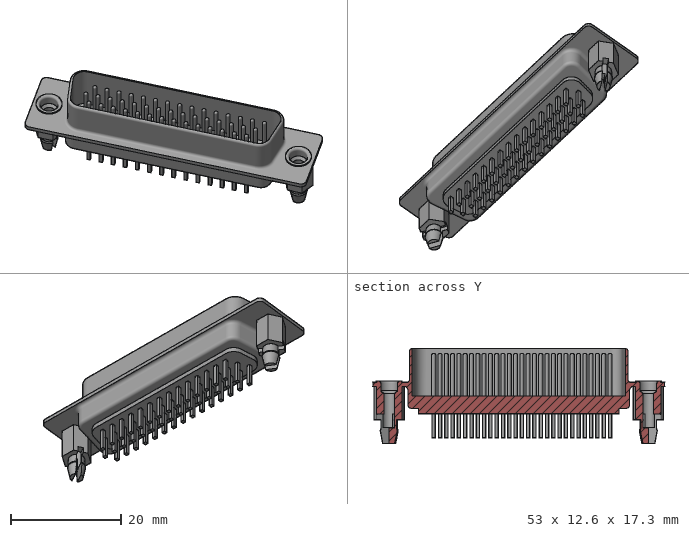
import cadquery as cq
import math

FLANGE_LENGTH = 53.05
FLANGE_WIDTH = 12.55
FLANGE_THICKNESS = 0.8
FLANGE_CORNER_RADIUS = 1.0

END_ANGLE = 10.0

SHELL_WIDTH = 9.45
SHELL_MID_LENGTH = 39.45
SHELL_CORNER_RADIUS = 2.55
SHELL_HEIGHT = 6.15
SHELL_WALL = 0.55
SHELL_RIM_FILLET = 0.5
SHELL_BASE_FILLET = 0.55
CAVITY_FLOOR_Z = -2.5

REAR_WIDTH = 10.75
REAR_MID_LENGTH = 40.1
REAR_CORNER_RADIUS = 2.0
REAR_BOTTOM_Z = -4.8
REAR_FILLET = 0.65

INSULATOR_WIDTH = 6.95
INSULATOR_MID_LENGTH = 36.2
INSULATOR_CORNER_RADIUS = 2.1
INSULATOR_BOTTOM_Z = -5.75

LONG_ROW_COUNT = 15
SHORT_ROW_COUNT = 14
PIN_FIELD_LENGTH = 33.15
PIN_PITCH = PIN_FIELD_LENGTH / (LONG_ROW_COUNT - 0.5)
ROW_SPACING = 1.95
MIDDLE_ROW_START = -PIN_FIELD_LENGTH / 2
OUTER_ROW_START = MIDDLE_ROW_START + PIN_PITCH / 2
PIN_ROWS = (
    (LONG_ROW_COUNT, OUTER_ROW_START, ROW_SPACING),
    (LONG_ROW_COUNT, MIDDLE_ROW_START, 0.0),
    (SHORT_ROW_COUNT, OUTER_ROW_START, -ROW_SPACING),
)
PIN_DIAMETER = 0.75
PIN_TIP_Z = 5.2
PIN_TIP_FILLET = 0.25
TAIL_SIDE = 0.65
TAIL_END_Z = -10.1
PIN_EMBED = 0.25

POST_SPACING = 47.05
HEX_ACROSS_FLATS = 4.8
HEX_BOTTOM_Z = -6.85
RIM_DIAMETER = 4.7
RIM_HEIGHT = 0.25
PEG_DIAMETER = 3.0
BARB_DIAMETER = 3.3
PEG_TIP_DIAMETER = 2.4
BARB_TOP_Z = -8.45
BARB_WIDEST_Z = -8.75
PEG_BOTTOM_Z = -11.15
BORE_LIP_RADIUS = 0.4
BORE_DIAMETER = 3.25
BORE_BOTTOM_Z = -1.55
PILOT_DIAMETER = 2.25
PILOT_BOTTOM_Z = -8.2
SLOT_WIDTH = 1.0
SLOT_TOP_Z = -5.8
SLOT_ANGLE = 30.0


def d_prism(width, mid_length, corner_radius, bottom_z, top_z):
    """D-shaped prism; mid_length is its length along X halfway between the long sides."""
    half_width = width / 2
    lean = half_width * math.tan(math.radians(END_ANGLE))
    wide_half = mid_length / 2 + lean
    narrow_half = mid_length / 2 - lean
    corners = [
        (-narrow_half, -half_width),
        (narrow_half, -half_width),
        (wide_half, half_width),
        (-wide_half, half_width),
    ]
    prism = cq.Workplane("XY").workplane(offset=bottom_z).polyline(corners).close().extrude(top_z - bottom_z)
    return prism.edges("|Z").fillet(corner_radius)


def outline_edges_at(z):
    """Selector for the D outline edges at height z, leaving out the flange border."""
    half_x = FLANGE_LENGTH / 2 - FLANGE_CORNER_RADIUS
    half_y = (REAR_WIDTH + FLANGE_WIDTH) / 4
    margin = 0.05
    return cq.selectors.BoxSelector((-half_x, -half_y, z - margin), (half_x, half_y, z + margin))


def make_body():
    """Flange with both shells, the hollow mating side and the insulator step."""
    body = (
        cq.Workplane("XY")
        .box(FLANGE_LENGTH, FLANGE_WIDTH, FLANGE_THICKNESS, centered=(True, True, False))
        .translate((0, 0, -FLANGE_THICKNESS))
        .edges("|Z")
        .fillet(FLANGE_CORNER_RADIUS)
    )
    body = body.union(d_prism(SHELL_WIDTH, SHELL_MID_LENGTH, SHELL_CORNER_RADIUS, 0, SHELL_HEIGHT))
    body = body.union(
        d_prism(REAR_WIDTH, REAR_MID_LENGTH, REAR_CORNER_RADIUS, REAR_BOTTOM_Z, -FLANGE_THICKNESS)
    )
    body = body.edges(outline_edges_at(0)).fillet(SHELL_BASE_FILLET)
    body = body.faces(">Z").edges().fillet(SHELL_RIM_FILLET)
    body = body.edges(outline_edges_at(-FLANGE_THICKNESS)).fillet(REAR_FILLET)
    body = body.faces("<Z").edges().fillet(REAR_FILLET)

    end_wall = SHELL_WALL / math.cos(math.radians(END_ANGLE))
    cavity = d_prism(
        SHELL_WIDTH - 2 * SHELL_WALL,
        SHELL_MID_LENGTH - 2 * end_wall,
        SHELL_CORNER_RADIUS - SHELL_WALL,
        CAVITY_FLOOR_Z,
        SHELL_HEIGHT,
    )
    insulator = d_prism(
        INSULATOR_WIDTH, INSULATOR_MID_LENGTH, INSULATOR_CORNER_RADIUS, INSULATOR_BOTTOM_Z, REAR_BOTTOM_Z
    )
    return body.cut(cavity).union(insulator)


def make_pins():
    """Round contacts inside the shell, each with a square solder tail below."""
    points = []
    for count, start_x, y in PIN_ROWS:
        for index in range(count):
            points.append((start_x + index * PIN_PITCH, y))

    contact_base_z = CAVITY_FLOOR_Z - PIN_EMBED
    contact = (
        cq.Workplane("XY")
        .workplane(offset=contact_base_z)
        .circle(PIN_DIAMETER / 2)
        .extrude(PIN_TIP_Z - contact_base_z)
        .faces(">Z")
        .edges()
        .fillet(PIN_TIP_FILLET)
        .val()
    )
    tail_top_z = INSULATOR_BOTTOM_Z + PIN_EMBED
    tail = (
        cq.Workplane("XY")
        .workplane(offset=TAIL_END_Z)
        .rect(TAIL_SIDE, TAIL_SIDE)
        .extrude(tail_top_z - TAIL_END_Z)
        .val()
    )
    spots = cq.Workplane("XY").pushPoints(points)
    contacts = spots.eachpoint(lambda place: contact.moved(place))
    tails = spots.eachpoint(lambda place: tail.moved(place))
    return contacts.add(tails)


def make_post():
    """Hexagonal post with rim and barbed peg, standing on the Z axis."""
    across_corners = HEX_ACROSS_FLATS / math.cos(math.radians(30))
    post = cq.Workplane("XY").workplane(offset=HEX_BOTTOM_Z).polygon(6, across_corners).extrude(-HEX_BOTTOM_Z)
    rim = cq.Workplane("XY").circle(RIM_DIAMETER / 2).extrude(RIM_HEIGHT)
    peg_profile = [
        (0, HEX_BOTTOM_Z),
        (PEG_DIAMETER / 2, HEX_BOTTOM_Z),
        (PEG_DIAMETER / 2, BARB_TOP_Z),
        (BARB_DIAMETER / 2, BARB_WIDEST_Z),
        (PEG_TIP_DIAMETER / 2, PEG_BOTTOM_Z),
        (0, PEG_BOTTOM_Z),
    ]
    peg = cq.Workplane("XZ").polyline(peg_profile).close().revolve(360, (0, 0, 0), (0, 1, 0))
    return post.union(rim).union(peg)


def make_post_cut(slot_angle):
    """Stepped bore with a rounded lip, and the slot that splits the peg."""
    cone_bottom_z = BORE_BOTTOM_Z - (BORE_DIAMETER - PILOT_DIAMETER) / 2
    bore_radius = BORE_DIAMETER / 2
    pilot_radius = PILOT_DIAMETER / 2
    lip_arc_offset = BORE_LIP_RADIUS * (1 - math.cos(math.radians(45)))
    bore = (
        cq.Workplane("XZ")
        .moveTo(0, RIM_HEIGHT)
        .lineTo(bore_radius + BORE_LIP_RADIUS, RIM_HEIGHT)
        .threePointArc(
            (bore_radius + lip_arc_offset, RIM_HEIGHT - lip_arc_offset),
            (bore_radius, RIM_HEIGHT - BORE_LIP_RADIUS),
        )
        .lineTo(bore_radius, BORE_BOTTOM_Z)
        .lineTo(pilot_radius, cone_bottom_z)
        .lineTo(pilot_radius, PILOT_BOTTOM_Z)
        .lineTo(0, PILOT_BOTTOM_Z)
        .close()
        .revolve(360, (0, 0, 0), (0, 1, 0))
    )
    slot = (
        cq.Workplane("XY")
        .workplane(offset=PEG_BOTTOM_Z)
        .rect(2 * HEX_ACROSS_FLATS, SLOT_WIDTH)
        .extrude(SLOT_TOP_Z - PEG_BOTTOM_Z)
        .rotate((0, 0, 0), (0, 0, 1), slot_angle)
    )
    return bore.union(slot.intersect(make_post()))


result = make_body().union(make_pins().combine())
for side in (-1, 1):
    post_position = (side * POST_SPACING / 2, 0, 0)
    result = result.union(make_post().translate(post_position))
    result = result.cut(make_post_cut(side * SLOT_ANGLE).translate(post_position))